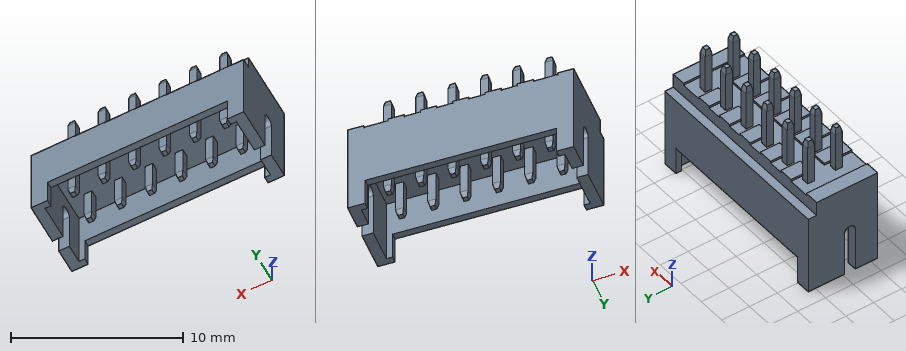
import cadquery as cq


length = 14.0
depth = 5.0
housing_height = 6.6
roof_thickness = 1.99
side_wall = 0.42
end_wall = 0.7

ledge_depth = 0.6
ledge_drop = 1.0

leg_width = 1.08
leg_height = 1.93

slot_width = 0.77
slot_height = 3.5
slot_front_edge = 1.61

columns = 6
pitch = length / (columns + 1)
pin_size = 0.5
pin_bottom = 2.0
pin_top = 9.6
tip_length = 0.42
tip_taper = 0.1

relief_depth = 0.14
relief_margin = pitch / 2
pad_width = pitch / 2
relief_channel = pitch / 2

roof_depth = depth - ledge_depth
relief_floor = housing_height - relief_depth
cavity_height = housing_height - roof_thickness
middle = depth / 2
column_places = [(i - (columns - 1) / 2) * pitch for i in range(columns)]
row_places = [middle - pitch / 2, middle + pitch / 2]


def block(x_size, y_start, y_end, z_start, z_end, x_middle=0.0):
    """Box centred on x_middle, spanning the given Y and Z ranges."""
    return (
        cq.Workplane("XY")
        .box(x_size, y_end - y_start, z_end - z_start, centered=(True, False, False))
        .translate((x_middle, y_start, z_start))
    )


def housing_shell():
    """Hollow housing with the rear ledge, the leg openings and the end slots."""
    shell = block(length, 0, depth, 0, housing_height)
    ledge = block(length, roof_depth, depth, housing_height - ledge_drop, housing_height)
    cavity = block(length - 2 * end_wall, side_wall, depth - side_wall, 0, cavity_height)
    leg_opening = block(length - 2 * leg_width, 0, depth, 0, leg_height)
    return shell.cut(ledge).cut(cavity).cut(leg_opening).cut(end_slot())


def end_slot():
    """Slot with a half-round top, running the full length."""
    radius = slot_width / 2
    slot_rear_edge = slot_front_edge + slot_width
    return (
        cq.Workplane("YZ")
        .moveTo(slot_front_edge, 0)
        .lineTo(slot_front_edge, slot_height - radius)
        .threePointArc(
            (slot_front_edge + radius, slot_height),
            (slot_rear_edge, slot_height - radius),
        )
        .lineTo(slot_rear_edge, 0)
        .close()
        .extrude(length / 2, both=True)
    )


def roof_relief():
    """Relief pocket less the pads that stay at full height in front of and behind the channel."""
    relief = block(length - 2 * relief_margin, 0, roof_depth, relief_floor, housing_height)
    channel_front = middle - relief_channel / 2
    channel_rear = middle + relief_channel / 2
    for column in column_places[:-1]:
        pad_middle = column + pitch / 2
        for pad_start, pad_end in ((0, channel_front), (channel_rear, roof_depth)):
            pad = block(pad_width, pad_start, pad_end, relief_floor, housing_height, pad_middle)
            relief = relief.cut(pad)
    return relief


def pin():
    """Square pin on the Z axis with a tapered tip at each end."""
    tip_size = pin_size - 2 * tip_taper
    shank_bottom = pin_bottom + tip_length
    shank_top = pin_top - tip_length
    shank = block(pin_size, -pin_size / 2, pin_size / 2, shank_bottom, shank_top)
    for base, end in ((shank_bottom, pin_bottom), (shank_top, pin_top)):
        tip = (
            cq.Workplane("XY", origin=(0, 0, base))
            .rect(pin_size, pin_size)
            .workplane(offset=end - base)
            .rect(tip_size, tip_size)
            .loft(ruled=True)
        )
        shank = shank.union(tip)
    return shank


result = housing_shell().cut(roof_relief())
for column in column_places:
    for row in row_places:
        result = result.union(pin().translate((column, row, 0)))